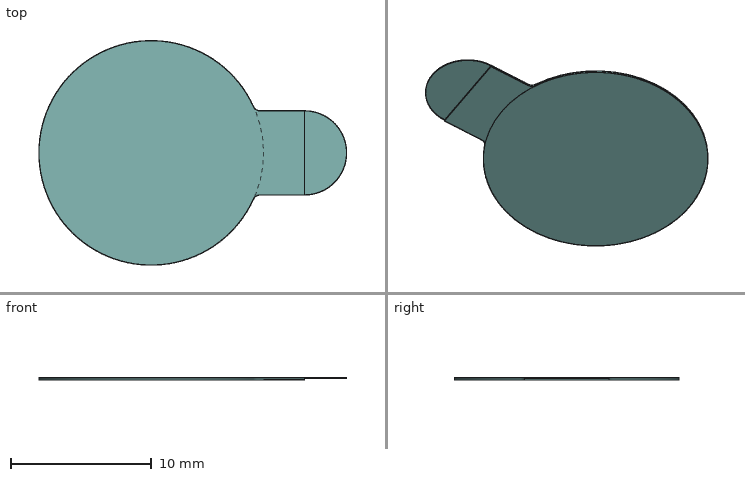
import cadquery as cq

overall_length = 21.92
overall_thickness = 0.17
disc_diameter = 16.0
tab_width = 6.0
neck_fillet_radius = 0.5
tab_lip_thickness = 0.07
backing_thickness = 0.01

disc_radius = disc_diameter / 2
tab_end_radius = tab_width / 2
tab_tip_x = overall_length - disc_radius
tab_straight_end_x = tab_tip_x - tab_end_radius
label_thickness = overall_thickness - backing_thickness
lip_step_height = label_thickness - tab_lip_thickness


def make_backing():
    """Thin round disc at the very bottom, without a tab."""
    return cq.Workplane("XY").circle(disc_radius).extrude(backing_thickness)


def label_blank():
    """Disc with a round-ended tab, full thickness, with filleted corners where they meet."""
    base = cq.Workplane("XY").workplane(offset=backing_thickness)
    disc = base.circle(disc_radius).extrude(label_thickness)
    tab = (
        base.moveTo(0, -tab_end_radius)
        .lineTo(tab_straight_end_x, -tab_end_radius)
        .threePointArc((tab_tip_x, 0), (tab_straight_end_x, tab_end_radius))
        .lineTo(0, tab_end_radius)
        .close()
        .extrude(label_thickness)
    )
    neck_region = cq.selectors.BoxSelector(
        (0, -tab_width, 0),
        (disc_radius, tab_width, overall_thickness),
    )
    return disc.union(tab).edges("|Z").edges(neck_region).fillet(neck_fillet_radius)


def lip_relief():
    """Block under the round tab end that leaves only the thin lip above it."""
    return cq.Workplane("XY").box(
        tab_end_radius,
        tab_width,
        lip_step_height,
        centered=(False, True, False),
    ).translate((tab_straight_end_x, 0, backing_thickness))


def make_label():
    """Tabbed label on top of the backing, thinned to a lip at the round tab end."""
    return label_blank().cut(lip_relief())


backing = make_backing()
label = make_label()
result = cq.Compound.makeCompound([backing.val(), label.val()])